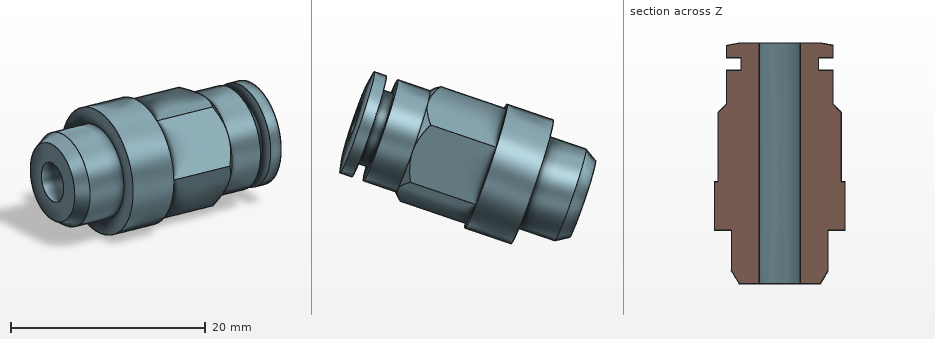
import cadquery as cq
import math

total_length = 24.8
nose_chamfer_length = 1.35
spigot_end = 5.5
flange_end = 10.52
hex_end = 18.5
body_end = 22.0
groove_end = 23.25
cap_taper_length = 0.25

nose_diameter = 8.35
spigot_diameter = 10.0
flange_diameter = 13.5
across_flats = 11.0
body_diameter = across_flats
groove_diameter = 8.0
cap_tip_diameter = 8.4
bore_diameter = 4.2


def cylinder(diameter, start, end):
    """Cylinder on the Y axis between two positions."""
    plane = cq.Workplane("XZ", origin=(0, start, 0))
    return plane.circle(diameter / 2).extrude(start - end)


def cone(start_diameter, end_diameter, start, end):
    """Truncated cone on the Y axis between two positions."""
    profile = [
        (0, start),
        (start_diameter / 2, start),
        (end_diameter / 2, end),
        (0, end),
    ]
    return cq.Workplane("XY").polyline(profile).close().revolve(360, (0, 0), (0, 1))


def hexagon():
    """Hexagon with corners on X, its far corners turned off at 45 degrees."""
    across_corners = across_flats / math.cos(math.radians(30))
    length = hex_end - flange_end
    plane = cq.Workplane("XZ", origin=(0, flange_end, 0))
    prism = plane.polygon(6, across_corners).extrude(-length)
    envelope = cone(across_flats + 2 * length, across_flats, flange_end, hex_end)
    return prism.intersect(envelope)


nose = cone(nose_diameter, spigot_diameter, 0, nose_chamfer_length)
spigot = cylinder(spigot_diameter, nose_chamfer_length, spigot_end)
flange = cylinder(flange_diameter, spigot_end, flange_end)
body = cylinder(body_diameter, hex_end, body_end)
groove_neck = cylinder(groove_diameter, body_end, groove_end)
cap_taper_start = total_length - cap_taper_length
cap = cylinder(body_diameter, groove_end, cap_taper_start)
cap_taper = cone(body_diameter, cap_tip_diameter, cap_taper_start, total_length)

result = nose
for section in (spigot, flange, hexagon(), body, groove_neck, cap, cap_taper):
    result = result.union(section)

result = result.cut(cylinder(bore_diameter, 0, total_length))